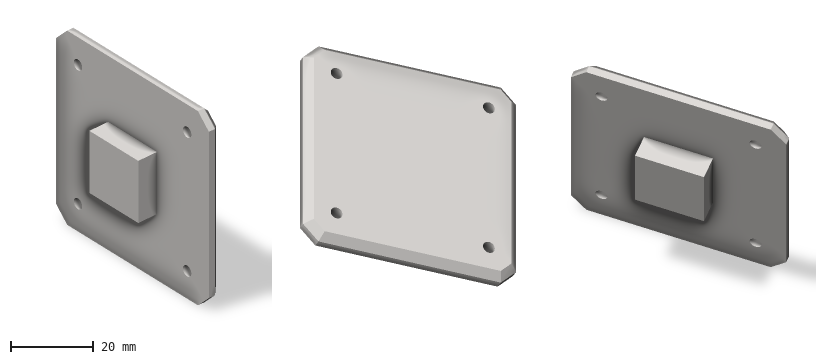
import cadquery as cq

plate_side = 56.0
plate_thickness = 4.0
corner_cut = 4.05
back_chamfer = plate_thickness / 2

hole_diameter = 3.1
hole_spacing = 40.05

overall_depth = 10.0
block_side = 17.9
block_height = overall_depth - plate_thickness


def make_plate():
    """Square plate with cut corners, a bevelled back rim and four through holes."""
    plate = (
        cq.Workplane("XY")
        .box(plate_side, plate_thickness, plate_side, centered=(True, False, True))
        .edges("|Y")
        .chamfer(corner_cut)
        .faces(">Y")
        .edges()
        .chamfer(back_chamfer)
    )
    holes = (
        cq.Workplane("XZ")
        .rect(hole_spacing, hole_spacing, forConstruction=True)
        .vertices()
        .circle(hole_diameter / 2)
        .extrude(-plate_thickness)
    )
    return plate.cut(holes)


def make_block():
    """Plain square block reaching forward (-Y) from the plate's front face."""
    return cq.Workplane("XZ").rect(block_side, block_side).extrude(block_height)


plate = make_plate()
block = make_block()

result = cq.Compound.makeCompound([*plate.solids().vals(), block.val()])